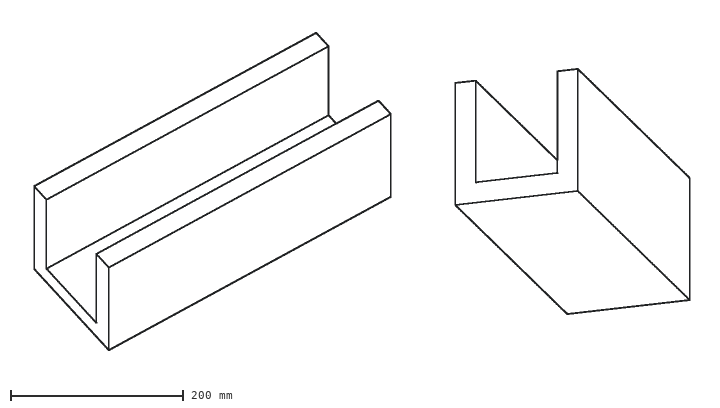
import cadquery as cq

length = 400.0
width = 150.0
height = width
wall = width / 6

block = cq.Workplane("XY").box(width, length, height, centered=(True, True, False))

channel = (
    cq.Workplane("XY")
    .workplane(offset=wall)
    .box(width - 2 * wall, length, height - wall, centered=(True, True, False))
)

result = block.cut(channel)